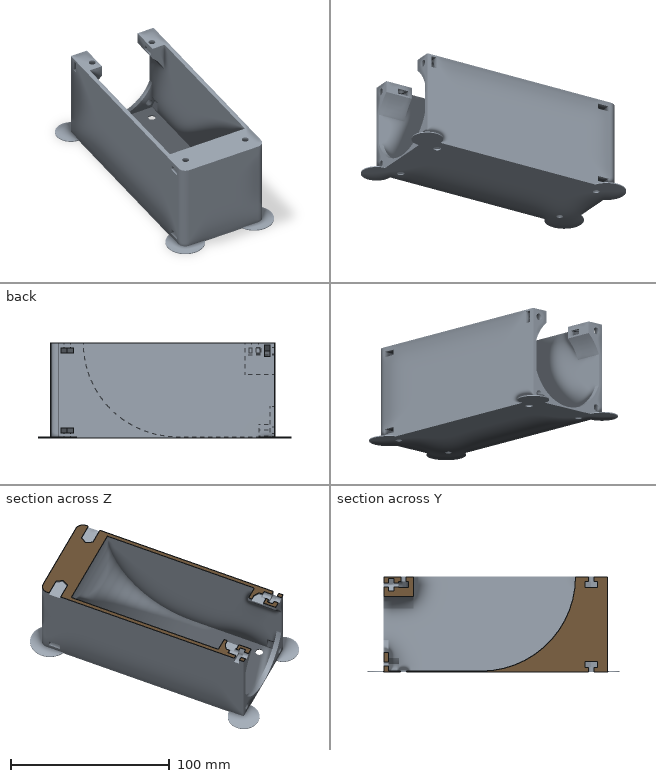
import cadquery as cq
import math

box_length = 141.4
box_width = 60.0
box_height = 60.0
back_corner_radius = 5.0
mid_y = box_width / 2

wall = 2.8
front_wall = 3.2
floor = 0.8
ramp_radius = box_height - floor
ramp_start_x = 61.6
ramp_end_x = ramp_start_x + ramp_radius

opening_radius = 29.0
throat_width = 36.8
block_length = 19.0
block_width = (box_width - throat_width) / 2

disc_thickness = 0.6
front_disc_radius = 10.0
back_disc_radius = 12.5
back_disc_inset = 5.0

screw_diameter = 4.3
floor_hole_diameter = 4.8
front_screw_depth = 12.0
lower_recess_end = 10.0
front_screw_inset = 5.0
upright_screw_inset_y = 8.4
front_upright_screw_x = 12.6
back_upright_screw_x = box_length - 10.5
front_nut_size = 7.4
upright_nut_size = 7.7
nut_thickness = 3.4
upright_nut_start = 3.1
upright_screw_depth = upright_nut_start + nut_thickness
flats_to_corners = math.cos(math.radians(30))
quarter_turn = 90


def both_sides(shape):
    """Return the shape together with its mirror image about the middle of the box width."""
    mirrored = shape.mirror("XZ", (0, mid_y, 0))
    return shape.union(mirrored)


def cylinder(radius, start, direction, length):
    """Return a cylinder running from a start point along a direction."""
    return cq.Workplane(cq.Solid.makeCylinder(radius, length, cq.Vector(*start), cq.Vector(*direction)))


def make_box():
    """Return the solid box with its two upright back edges rounded."""
    box = cq.Workplane("XY").box(box_length, box_width, box_height, centered=False)
    return box.edges("|Z and >X").fillet(back_corner_radius)


def make_cavity():
    """Return the space between the side walls, bounded at the back by the ramp."""
    arc_mid_reach = ramp_radius * math.sqrt(0.5)
    arc_mid_x = ramp_start_x + arc_mid_reach
    arc_mid_z = box_height - arc_mid_reach
    profile = (
        cq.Workplane("XZ", origin=(0, wall, 0))
        .moveTo(front_wall, box_height)
        .lineTo(front_wall, floor)
        .lineTo(ramp_start_x, floor)
        .threePointArc((arc_mid_x, arc_mid_z), (ramp_end_x, box_height))
        .close()
    )
    return profile.extrude(-(box_width - 2 * wall))


def make_corner_blocks():
    """Return the two upper front blocks that carry screws, before the opening trims them."""
    block = cq.Workplane("XY").box(block_length, block_width, box_height / 2, centered=False)
    return both_sides(block.translate((0, 0, box_height / 2)))


def make_opening():
    """Return the round front opening, flattened at the side walls, with its throat to the top."""
    bore = cylinder(opening_radius, (0, mid_y, box_height / 2), (1, 0, 0), block_length)
    between_walls = cq.Workplane("XY").box(
        block_length, box_width - 2 * wall, box_height, centered=False
    ).translate((0, wall, 0))
    throat = cq.Workplane("XY").box(
        block_length, throat_width, box_height / 2, centered=False
    ).translate((0, block_width, box_height / 2))
    return bore.intersect(between_walls).union(throat)


def make_discs():
    """Return the thin discs under the four box corners."""
    front = cylinder(front_disc_radius, (0, 0, 0), (0, 0, 1), disc_thickness)
    back_start = (box_length - back_disc_inset, back_disc_inset, 0)
    back = cylinder(back_disc_radius, back_start, (0, 0, 1), disc_thickness)
    return both_sides(front.union(back))


def hexagon(plane, origin, across_flats, depth, turn=0):
    """Return a hexagonal prism centred on a screw axis, rising along the plane normal."""
    across_corners = across_flats / flats_to_corners
    prism = cq.Workplane(plane).transformed(rotate=(0, 0, turn)).polygon(6, across_corners).extrude(depth)
    return prism.translate(origin)


def nut_slot_entry(x, bottom_z, exit_y):
    """Return the straight part of an upright nut slot, from the screw axis out to exit_y."""
    entry_length = abs(exit_y - upright_screw_inset_y)
    entry_mid_y = (exit_y + upright_screw_inset_y) / 2
    entry = cq.Workplane("XY").box(upright_nut_size, entry_length, nut_thickness)
    return entry.translate((x, entry_mid_y, bottom_z + nut_thickness / 2))


def front_upright_slot(bottom_z):
    """Return the block's nut slot, open to the throat, with a flat side of the hexagon at its end."""
    across_flats = upright_nut_size * flats_to_corners
    start = (front_upright_screw_x, upright_screw_inset_y, bottom_z)
    nut = hexagon("XY", start, across_flats, nut_thickness)
    return nut.union(nut_slot_entry(front_upright_screw_x, bottom_z, block_width))


def back_upright_slot(bottom_z):
    """Return a back nut slot, open to the outer side, with a corner of the hexagon at its end."""
    start = (back_upright_screw_x, upright_screw_inset_y, bottom_z)
    nut = hexagon("XY", start, upright_nut_size, nut_thickness, quarter_turn)
    return nut.union(nut_slot_entry(back_upright_screw_x, bottom_z, 0))


def make_upright_screws():
    """Return the vertical screw holes with their nut slots, and the holes through the floor."""
    top_nut_z = box_height - upright_nut_start - nut_thickness
    radius = screw_diameter / 2
    y = upright_screw_inset_y
    cuts = front_upright_slot(top_nut_z)
    for nut_z in (upright_nut_start, top_nut_z):
        cuts = cuts.union(back_upright_slot(nut_z))
    for x in (front_upright_screw_x, back_upright_screw_x):
        cuts = cuts.union(cylinder(radius, (x, y, box_height), (0, 0, -1), upright_screw_depth))
    cuts = cuts.union(cylinder(radius, (back_upright_screw_x, y, 0), (0, 0, 1), upright_screw_depth))
    floor_hole = cylinder(floor_hole_diameter / 2, (front_upright_screw_x, y, 0), (0, 0, 1), floor)
    return both_sides(cuts.union(floor_hole))


def make_front_screws():
    """Return the front screw holes, the upper nut slots and the lower nut recesses."""
    upper_z = box_height - front_screw_inset
    cuts = cylinder(screw_diameter / 2, (0, front_screw_inset, upper_z), (1, 0, 0), front_screw_depth)
    lower_hole = cylinder(
        screw_diameter / 2, (0, front_screw_inset, front_screw_inset), (1, 0, 0), lower_recess_end
    )
    upper_nut = hexagon("YZ", (front_wall, front_screw_inset, upper_z), front_nut_size, nut_thickness)
    entry = cq.Workplane("XY").box(nut_thickness, front_screw_inset, front_nut_size)
    entry_mid_x = front_wall + nut_thickness / 2
    entry = entry.translate((entry_mid_x, front_screw_inset / 2, upper_z))
    lower_start = (front_wall, front_screw_inset, front_screw_inset)
    lower_recess = hexagon("YZ", lower_start, front_nut_size, lower_recess_end - front_wall)
    return both_sides(cuts.union(upper_nut).union(entry).union(lower_hole).union(lower_recess))


result = make_box().cut(make_cavity()).union(make_corner_blocks()).cut(make_opening())
result = result.union(make_discs()).cut(make_upright_screws()).cut(make_front_screws())